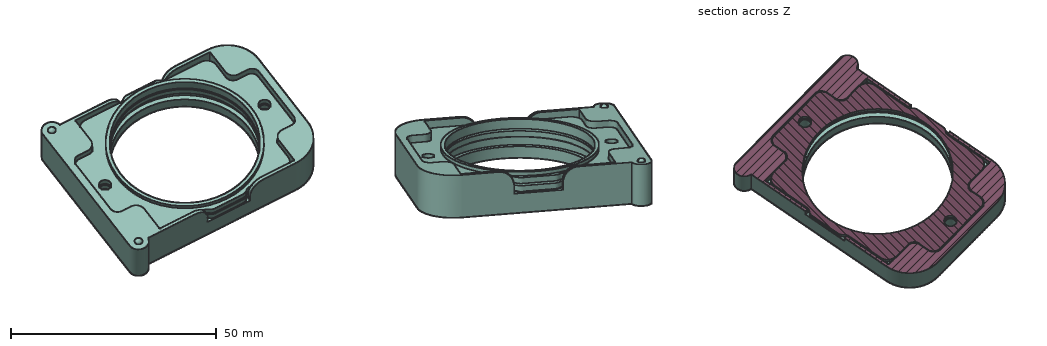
import cadquery as cq
import math

HOUSING_WIDTH = 40.4
HOUSING_LENGTH = 56.45
REAR_CORNER_RADIUS = 8.9
REAR_HEIGHT = 11.0
FRONT_HEIGHT = 10.8

LUG_SPAN = 44.6
LUG_DEPTH = 5.1
LUG_RADIUS = 2.5
BUMP_DIAMETER = 2.0
BUMP_HEIGHT = 0.7

POCKET_FLOOR_Z = 5.1
POCKET_HALF_WIDTH = 19.3
POCKET_HALF_LENGTH = 19.3
TAB_HALF_WIDTH = 9.95
TAB_END_Y = 26.25
TAB_CORNER_RADIUS = 2.0
POCKET_ROOT_RADIUS = 2.35

OPENING_DIAMETER = 36.5
COUNTERBORE_DIAMETER = 39.0
COUNTERBORE_FLOOR_Z = 3.0
SCREW_HOLE_DIAMETER = 3.0
SCREW_HOLE_Y = 22.85

NOTCH_HALF_LENGTH = 6.1
NOTCH_FLARE_START_Z = 7.1

PLATE_THICKNESS = 1.5
LOWER_PLATE_Z = 5.5
UPPER_PLATE_Z = 7.55
PLATE_CLEARANCE = 0.15
PLATE_CORNER_DIAMETER = 5.5
EAR_HALF_LENGTH = 4.0
EAR_BLEND_RADIUS = 1.85
RING_DIAMETER = 38.5
RING_TOP_Z = 10.05

HALF_WIDTH = HOUSING_WIDTH / 2
HALF_LENGTH = HOUSING_LENGTH / 2
LUG_Y = -HALF_LENGTH + LUG_DEPTH / 2


def cross_prism(half_width, tab_end, root_radius, bottom_z, height):
    """Upright prism: a square with a narrower tab at each end, the tab corners and roots rounded."""
    base = cq.Workplane("XY", origin=(0, 0, bottom_z))
    square = base.rect(2 * half_width, 2 * POCKET_HALF_LENGTH).extrude(height)
    tabs = base.rect(2 * TAB_HALF_WIDTH, 2 * tab_end).extrude(height)
    cross = square.union(tabs)
    cross = cross.edges("|Z and (<Y or >Y)").fillet(TAB_CORNER_RADIUS)
    root_zone = cq.selectors.BoxSelector(
        (-TAB_HALF_WIDTH - root_radius, -POCKET_HALF_LENGTH - root_radius / 2, bottom_z),
        (TAB_HALF_WIDTH + root_radius, POCKET_HALF_LENGTH + root_radius / 2, bottom_z + height),
    )
    return cross.edges("|Z").edges(root_zone).fillet(root_radius)


def cylinder(diameter, bottom_z, top_z, points=((0, 0),)):
    """Upright cylinder at each of the given XY points."""
    return (
        cq.Workplane("XY", origin=(0, 0, bottom_z))
        .pushPoints(list(points))
        .circle(diameter / 2)
        .extrude(top_z - bottom_z)
    )


def through_holes():
    """Cutter for the round opening and the two screw holes, over the full height."""
    screw_points = [(0, -SCREW_HOLE_Y), (0, SCREW_HOLE_Y)]
    opening = cylinder(OPENING_DIAMETER, 0, REAR_HEIGHT)
    return opening.union(cylinder(SCREW_HOLE_DIAMETER, 0, REAR_HEIGHT, screw_points))


def housing_block():
    """Block with round rear corners and a lower front half, ending in a wider bar with round lugs."""
    block_length = HALF_LENGTH - LUG_Y
    block = (
        cq.Workplane("XY", origin=(0, LUG_Y + block_length / 2, 0))
        .rect(HOUSING_WIDTH, block_length)
        .extrude(REAR_HEIGHT)
    )
    block = block.edges("|Z and >Y").fillet(REAR_CORNER_RADIUS)
    front_step = (
        cq.Workplane("XY", origin=(0, -HALF_LENGTH / 2, FRONT_HEIGHT))
        .rect(HOUSING_WIDTH, HALF_LENGTH)
        .extrude(REAR_HEIGHT - FRONT_HEIGHT)
    )
    lugs = (
        cq.Workplane("XY", origin=(0, LUG_Y, 0))
        .rect(LUG_SPAN, LUG_DEPTH)
        .extrude(FRONT_HEIGHT)
        .edges("|Z")
        .fillet(LUG_RADIUS)
    )
    return block.cut(front_step).union(lugs)


def side_notch():
    """Cutter through both side walls; each flank ends in an arc tangent to the top of its wall."""
    rear_radius = REAR_HEIGHT - NOTCH_FLARE_START_Z
    front_radius = FRONT_HEIGHT - NOTCH_FLARE_START_Z
    rear_end = NOTCH_HALF_LENGTH + rear_radius
    front_end = -NOTCH_HALF_LENGTH - front_radius
    arc_middle = math.sqrt(0.5)
    rear_middle = (
        rear_end - rear_radius * arc_middle,
        NOTCH_FLARE_START_Z + rear_radius * arc_middle,
    )
    front_middle = (
        front_end + front_radius * arc_middle,
        NOTCH_FLARE_START_Z + front_radius * arc_middle,
    )
    return (
        cq.Workplane("YZ")
        .moveTo(-NOTCH_HALF_LENGTH, POCKET_FLOOR_Z)
        .lineTo(NOTCH_HALF_LENGTH, POCKET_FLOOR_Z)
        .lineTo(NOTCH_HALF_LENGTH, NOTCH_FLARE_START_Z)
        .threePointArc(rear_middle, (rear_end, REAR_HEIGHT))
        .lineTo(front_end, REAR_HEIGHT)
        .lineTo(front_end, FRONT_HEIGHT)
        .threePointArc(front_middle, (-NOTCH_HALF_LENGTH, NOTCH_FLARE_START_Z))
        .close()
        .extrude(HALF_WIDTH, both=True)
    )


def bump(x, y):
    """Domed cap standing on the front top face."""
    base_radius = BUMP_DIAMETER / 2
    sphere_radius = (base_radius**2 + BUMP_HEIGHT**2) / (2 * BUMP_HEIGHT)
    sphere_z = FRONT_HEIGHT + BUMP_HEIGHT - sphere_radius
    sphere = cq.Workplane("XY", origin=(x, y, sphere_z)).sphere(sphere_radius)
    cap_zone = cylinder(BUMP_DIAMETER, sphere_z, FRONT_HEIGHT + BUMP_HEIGHT, [(x, y)])
    return sphere.intersect(cap_zone)


def make_housing():
    pocket_depth = REAR_HEIGHT - POCKET_FLOOR_Z
    pocket = cross_prism(POCKET_HALF_WIDTH, TAB_END_Y, POCKET_ROOT_RADIUS, POCKET_FLOOR_Z, pocket_depth)
    counterbore = cylinder(COUNTERBORE_DIAMETER, COUNTERBORE_FLOOR_Z, POCKET_FLOOR_Z)
    body = housing_block().cut(pocket).cut(side_notch()).cut(counterbore).cut(through_holes())
    bump_x = LUG_SPAN / 2 - LUG_RADIUS
    for side in (-1, 1):
        body = body.union(bump(side * bump_x, LUG_Y))
    return body


def plate_ears(half_width, bottom_z):
    """Bar across the plate whose ends reach the housing sides and blend into the plate by S-curves."""
    blend_angle = math.acos(1 - (HALF_WIDTH - half_width) / (2 * EAR_BLEND_RADIUS))
    blend_half_length = EAR_BLEND_RADIUS * math.sin(blend_angle)
    mid_x = (HALF_WIDTH + half_width) / 2
    mid_y = EAR_HALF_LENGTH + blend_half_length
    root_y = mid_y + blend_half_length
    half_arc_x = EAR_BLEND_RADIUS * (1 - math.cos(blend_angle / 2))
    half_arc_y = EAR_BLEND_RADIUS * math.sin(blend_angle / 2)
    outer_arc = (HALF_WIDTH - half_arc_x, EAR_HALF_LENGTH + half_arc_y)
    inner_arc = (half_width + half_arc_x, root_y - half_arc_y)
    quarter = (
        cq.Workplane("XY", origin=(0, 0, bottom_z))
        .lineTo(HALF_WIDTH, 0)
        .lineTo(HALF_WIDTH, EAR_HALF_LENGTH)
        .threePointArc(outer_arc, (mid_x, mid_y))
        .threePointArc(inner_arc, (half_width, root_y))
        .lineTo(0, root_y)
        .close()
        .extrude(PLATE_THICKNESS)
    )
    half = quarter.union(quarter.mirror("XZ"))
    return half.union(half.mirror("YZ"))


def plate_blank(bottom_z):
    """Solid plate with rounded corners, end tabs and side ears."""
    half_width = POCKET_HALF_WIDTH - PLATE_CLEARANCE
    tab_end = TAB_END_Y - PLATE_CLEARANCE
    blank = cross_prism(half_width, tab_end, TAB_CORNER_RADIUS, bottom_z, PLATE_THICKNESS)
    blank = blank.edges("|Z and (<X or >X)").fillet(PLATE_CORNER_DIAMETER / 2)
    return blank.union(plate_ears(half_width, bottom_z))


def make_lower_plate():
    return plate_blank(LOWER_PLATE_Z).cut(through_holes())


def make_upper_plate():
    ring = cylinder(RING_DIAMETER, UPPER_PLATE_Z, RING_TOP_Z)
    return plate_blank(UPPER_PLATE_Z).union(ring).cut(through_holes())


housing = make_housing()
lower_plate = make_lower_plate()
upper_plate = make_upper_plate()

result = cq.Compound.makeCompound([housing.val(), lower_plate.val(), upper_plate.val()])